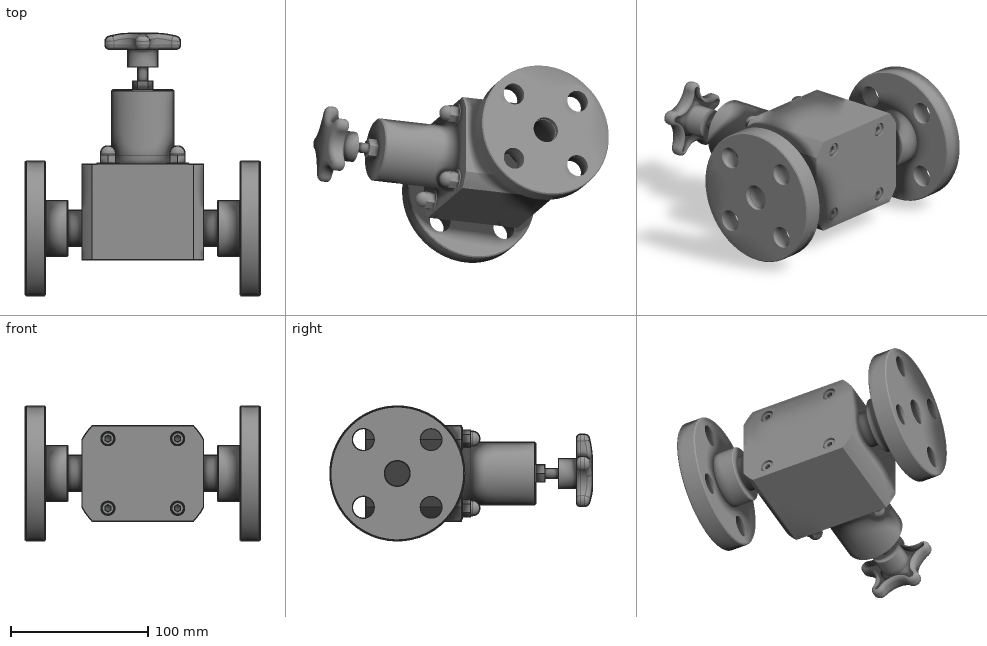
import cadquery as cq
import math


overall_length = 171.45
flange_dia = 98.55
flange_thickness = 14.7
flange_edge_chamfer = 0.8
flange_hole_dia = 15.88
flange_hole_circle_dia = 69.85
flange_hole_count = 4
first_flange_hole_angle = 45
hub_dia = 41.05
hub_length = 16.5
hub_edge_chamfer = 0.6
pipe_dia = 26.67
flange_bore_dia = 18.85
pipe_bore_dia = 18.34
flange_bore_depth = 4.4

body_length = 88.9
body_height = 69.85
body_front_y = -23.0
body_back_y = 46.85
body_round_dia = 101.6

bolt_spacing = 50.8
counterbore_dia = 10.32
bolt_head_dia = 9.53
counterbore_depth = 7.0
bolt_head_recess = 1.2
bolt_head_chamfer = 0.5
socket_across_flats = 4.45
socket_depth = 3.0
socket_cone_depth = 1.3
washer_dia = 16.0
washer_thickness = 0.75
nut_across_flats = 11.0
nut_hex_height = 5.9
nut_collar_height = 1.3

bonnet_dia = 45.72
bonnet_end_y = 101.2
bonnet_end_chamfer = 1.0
bonnet_root_fillet = 6.4

stem_dia = 7.44
lock_nut_across_flats = 12.7
lock_nut_height = 6.4

wheel_hub_dia = 22.1
wheel_hub_start_y = 117.6
wheel_base_y = 130.6
wheel_top_y = 142.53
wheel_dome_flat_dia = 13.8
wheel_lobes = 5
lobe_dia = 10.3
lobe_tip_radius = 28.74
lobe_height = 8.8
valley_flank_angle = 53.0
wheel_top_fillet = 3.8
wheel_base_fillet = 3.2
wheel_wall = 2.6
wheel_hollow_depth = 5.5
wheel_hub_root_dia = 27.0
wheel_hub_flare_height = 3.0

first_lobe_angle = 90
lobe_angles = [first_lobe_angle + i * 360 / wheel_lobes for i in range(wheel_lobes)]


def plane_y(y):
    """Sketch plane at height y: local x is X, local y is Z, extruding toward +Y."""
    return cq.Workplane(cq.Plane(origin=(0, y, 0), xDir=(1, 0, 0), normal=(0, -1, 0)))


def disc_y(diameter, y_start, y_end):
    return plane_y(y_start).circle(diameter / 2).extrude(y_start - y_end)


def cone_y(start_dia, end_dia, y_start, y_end):
    axis = cq.Vector(0, 1, 0)
    base = cq.Vector(0, y_start, 0)
    cone = cq.Solid.makeCone(start_dia / 2, end_dia / 2, y_end - y_start, base, axis)
    return cq.Workplane(cone)


def hexagon_y(across_flats, y_start, y_end, turn):
    """Hexagonal prism along Y; a turn of 0 puts corners on the X axis, 30 on the Z axis."""
    corner_dia = across_flats / math.cos(math.radians(30))
    prism = plane_y(y_start).polygon(6, corner_dia).extrude(y_start - y_end)
    return prism.rotate((0, 0, 0), (0, 1, 0), turn)


def at_bolts(shape):
    """Copies of a shape, modelled on the Y axis, at the four bolt positions."""
    half = bolt_spacing / 2
    copies = cq.Workplane()
    for x in (-half, half):
        for z in (-half, half):
            copies = copies.add(shape.translate((x, 0, z)))
    return copies.combine()


def make_pipe_end():
    """Pipe, hub and flange on the -X side, with bolt holes and the stepped blind bore."""
    end_x = -overall_length / 2
    flange_back_x = end_x + flange_thickness
    base = cq.Workplane("YZ", origin=(end_x, 0, 0))
    hole_circle = base.polarArray(
        flange_hole_circle_dia / 2, first_flange_hole_angle, 360, flange_hole_count
    )
    holes = hole_circle.circle(flange_hole_dia / 2).extrude(flange_thickness)
    flange = base.circle(flange_dia / 2).extrude(flange_thickness)
    flange = flange.edges().chamfer(flange_edge_chamfer).cut(holes)
    hub = cq.Workplane("YZ", origin=(flange_back_x, 0, 0)).circle(hub_dia / 2).extrude(hub_length)
    hub = hub.edges().chamfer(hub_edge_chamfer)
    pipe_length = overall_length / 2 - body_length / 2
    pipe = base.circle(pipe_dia / 2).extrude(pipe_length)
    bore = base.circle(pipe_bore_dia / 2).extrude(pipe_length)
    mouth = base.circle(flange_bore_dia / 2).extrude(flange_bore_depth)
    return flange.union(hub).union(pipe).cut(bore).cut(mouth)


def make_body():
    """Rectangular block whose four long corners are turned to one common diameter."""
    block = plane_y(body_front_y).rect(body_length, body_height).extrude(body_front_y - body_back_y)
    return block.intersect(disc_y(body_round_dia, body_front_y, body_back_y))


def make_bolt_recess():
    """Space round a set-back bolt head with a chamfered rim and a hex socket ending in a cone."""
    head_y = body_front_y + bolt_head_recess
    seat_y = body_front_y + counterbore_depth
    socket_end_y = head_y + socket_depth
    head = disc_y(bolt_head_dia, head_y, seat_y).faces("<Y").chamfer(bolt_head_chamfer)
    socket = hexagon_y(socket_across_flats, head_y, socket_end_y, 30)
    socket_cone = cone_y(socket_across_flats, 0, socket_end_y, socket_end_y + socket_cone_depth)
    head = head.cut(socket).cut(socket_cone)
    return disc_y(counterbore_dia, body_front_y, seat_y).cut(head)


def make_acorn_nut():
    """Washer, hexagon, short round collar and hemispherical dome on the back of the body."""
    hex_y = body_back_y + washer_thickness
    collar_y = hex_y + nut_hex_height
    dome_y = collar_y + nut_collar_height
    radius = nut_across_flats / 2
    washer = disc_y(washer_dia, body_back_y, hex_y)
    nut = hexagon_y(nut_across_flats, hex_y, collar_y, 30)
    collar = disc_y(nut_across_flats, collar_y, dome_y)
    dome = cq.Workplane("XY").sphere(radius).translate((0, dome_y, 0))
    return washer.union(nut).union(collar).union(dome)


def make_bonnet():
    """Turned cylinder with a chamfered outer end and a concave fillet where it meets the body."""
    r = bonnet_dia / 2
    root = bonnet_root_fillet
    bend = root * (1 - math.cos(math.radians(45)))
    profile = (
        cq.Workplane("XY")
        .moveTo(0, body_back_y)
        .lineTo(r + root, body_back_y)
        .threePointArc((r + bend, body_back_y + bend), (r, body_back_y + root))
        .lineTo(r, bonnet_end_y - bonnet_end_chamfer)
        .lineTo(r - bonnet_end_chamfer, bonnet_end_y)
        .lineTo(0, bonnet_end_y)
        .close()
    )
    return profile.revolve(360, (0, 0, 0), (0, 1, 0))


def polar(radius, angle):
    return radius * math.cos(math.radians(angle)), radius * math.sin(math.radians(angle))


def make_star(inset, y_start, y_end):
    """Five-lobed prism: round lobe tips joined by tangent hollow arcs, all offset inward by the inset."""
    tip_r = lobe_dia / 2 - inset
    centre_r = lobe_tip_radius - lobe_dia / 2
    pitch = 360 / wheel_lobes
    half_gap = centre_r * math.sin(math.radians(pitch / 2))
    centre_distance = half_gap / math.sin(math.radians(valley_flank_angle))
    valley_floor_r = (
        centre_r * math.cos(math.radians(pitch / 2))
        + centre_distance * math.cos(math.radians(valley_flank_angle))
        - (centre_distance - tip_r)
    )
    tangent_angle = pitch / 2 + valley_flank_angle

    def tip_point(lobe, offset):
        centre_x, centre_z = polar(centre_r, lobe)
        dx, dz = polar(tip_r, lobe + offset)
        return centre_x + dx, centre_z + dz

    outline = plane_y(y_start).moveTo(*tip_point(lobe_angles[0], -tangent_angle))
    for lobe in lobe_angles:
        outline = outline.threePointArc(tip_point(lobe, 0), tip_point(lobe, tangent_angle))
        valley = polar(valley_floor_r, lobe + pitch / 2)
        outline = outline.threePointArc(valley, tip_point(lobe + pitch, -tangent_angle))
    return outline.close().extrude(y_start - y_end)


def make_handwheel():
    """Domed star knob with rounded edges, a hollow underside and a flared central hub."""
    flat_r = wheel_dome_flat_dia / 2
    lobe_top_y = wheel_base_y + lobe_height
    rise = wheel_top_y - lobe_top_y
    run = lobe_tip_radius - flat_r
    dome_r = (run ** 2 + rise ** 2) / (2 * rise)
    mid_y = wheel_top_y - dome_r + math.sqrt(dome_r ** 2 - (run / 2) ** 2)
    envelope = (
        cq.Workplane("XY")
        .moveTo(0, wheel_base_y)
        .lineTo(lobe_tip_radius, wheel_base_y)
        .lineTo(lobe_tip_radius, lobe_top_y)
        .threePointArc((flat_r + run / 2, mid_y), (flat_r, wheel_top_y))
        .lineTo(0, wheel_top_y)
        .close()
        .revolve(360, (0, 0, 0), (0, 1, 0))
    )
    wheel = make_star(0, wheel_base_y, wheel_top_y).intersect(envelope)
    rim = wheel.edges("not(|Y or <Y or >Y)")
    wheel = rim.fillet(wheel_top_fillet)
    wheel = wheel.faces("<Y").edges().fillet(wheel_base_fillet)
    hollow_end_y = wheel_base_y + wheel_hollow_depth
    flare_start_y = hollow_end_y - wheel_hub_flare_height
    hollow = make_star(wheel_wall, wheel_base_y, hollow_end_y)
    hollow = hollow.cut(cone_y(wheel_hub_dia, wheel_hub_root_dia, flare_start_y, hollow_end_y))
    hub = disc_y(wheel_hub_dia, wheel_hub_start_y, hollow_end_y)
    return wheel.cut(hollow).union(hub)


def make_stem():
    stem = disc_y(stem_dia, bonnet_end_y, wheel_hub_start_y)
    return stem.union(hexagon_y(lock_nut_across_flats, bonnet_end_y, bonnet_end_y + lock_nut_height, 0))


pipe_end = make_pipe_end()
result = make_body().union(pipe_end).union(pipe_end.mirror("YZ"))
result = result.union(make_bonnet()).union(at_bolts(make_acorn_nut()))
result = result.cut(at_bolts(make_bolt_recess()))
result = result.union(make_stem()).union(make_handwheel())